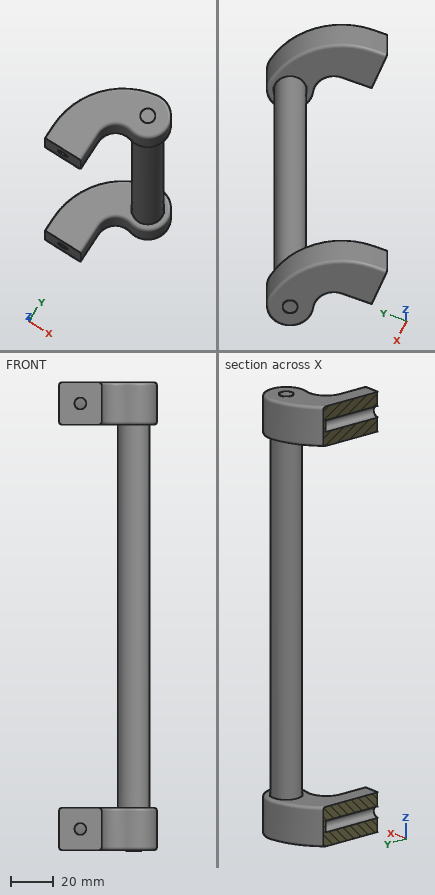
import cadquery as cq
import math

total_height = 220.5
badge_thickness = 0.5
bracket_height = 20.0
arm_width = 20.0
end_radius = 11.0
end_centre = 35.0
outer_bend_radius = 39.2
inner_bend_radius = 9.7
rim_round = 1.5
rod_diameter = 15.0
socket_diameter = 15.6
socket_depth = 10.0
hole_diameter = 5.5
hole_skin = 1.0
badge_diameter = 7.0

rail_height = total_height - badge_thickness
upper_bracket_base = rail_height - bracket_height
lower_socket_floor = bracket_height - socket_depth
rod_length = upper_bracket_base + socket_depth - lower_socket_floor

outer_bend_x = outer_bend_radius
outer_bend_y = end_centre - math.sqrt(
    (outer_bend_radius - end_radius) ** 2 - (outer_bend_x - end_centre) ** 2
)
inner_bend_x = arm_width + inner_bend_radius
inner_bend_y = end_centre - math.sqrt(
    (inner_bend_radius + end_radius) ** 2 - (inner_bend_x - end_centre) ** 2
)
outer_angle = math.atan2(end_centre - outer_bend_y, end_centre - outer_bend_x)
inner_angle = math.atan2(end_centre - inner_bend_y, end_centre - inner_bend_x)


def point_on_outer_bend(angle):
    """Point of the outer bend at an angle in radians, counted from +X."""
    return (
        outer_bend_x + outer_bend_radius * math.cos(angle),
        outer_bend_y + outer_bend_radius * math.sin(angle),
    )


def point_on_inner_bend(angle):
    """Point of the inner bend at an angle in radians, counted from +X."""
    return (
        inner_bend_x + inner_bend_radius * math.cos(angle),
        inner_bend_y + inner_bend_radius * math.sin(angle),
    )


def rod_axis_disc(diameter, base_z, height):
    """Upright cylinder on the rod axis."""
    return (
        cq.Workplane("XY", origin=(end_centre, end_centre, base_z))
        .circle(diameter / 2)
        .extrude(height)
    )


def arm():
    """Curved arm with a flat foot on Y = 0, standing on Z = 0, both rims rounded."""
    end_tip = (end_centre + end_radius, end_centre)
    block = (
        cq.Workplane("XY")
        .lineTo(0, outer_bend_y)
        .threePointArc(
            point_on_outer_bend((math.pi + outer_angle) / 2),
            point_on_outer_bend(outer_angle),
        )
        .threePointArc(end_tip, point_on_inner_bend(inner_angle))
        .threePointArc(
            point_on_inner_bend((math.pi + inner_angle) / 2),
            (arm_width, inner_bend_y),
        )
        .lineTo(arm_width, 0)
        .close()
        .extrude(bracket_height)
    )
    return block.faces("<Z or >Z").edges("not <Y").fillet(rim_round)


def foot_hole():
    """Blind mounting hole in the middle of the foot, ending parallel to the outer bend."""
    bore = (
        cq.Workplane("XZ", origin=(arm_width / 2, 0, bracket_height / 2))
        .circle(hole_diameter / 2)
        .extrude(-end_centre - end_radius)
    )
    inside_of_skin = (
        cq.Workplane("XY", origin=(outer_bend_x, outer_bend_y, 0))
        .circle(outer_bend_radius - hole_skin)
        .extrude(bracket_height)
    )
    foot_block = cq.Workplane("XY").box(arm_width, outer_bend_y, bracket_height, centered=False)
    return bore.intersect(inside_of_skin.union(foot_block))


def bracket(base_z, socket_base_z):
    """Arm with its foot hole and a blind socket for one end of the rod."""
    socket = rod_axis_disc(socket_diameter, socket_base_z, socket_depth)
    return arm().cut(foot_hole()).translate((0, 0, base_z)).cut(socket)


def badge(top_z):
    """Round badge over the rod axis."""
    return rod_axis_disc(badge_diameter, top_z - badge_thickness, badge_thickness)


rod = rod_axis_disc(rod_diameter, lower_socket_floor, rod_length)

badges = [badge(top_z) for top_z in (0, rail_height)]

brackets = []
for base_z, socket_base_z in ((0, lower_socket_floor), (upper_bracket_base, upper_bracket_base)):
    body = bracket(base_z, socket_base_z)
    for round_badge in badges:
        body = body.cut(round_badge)
    brackets.append(body)

result = cq.Compound.makeCompound(
    [rod.val()] + [body.val() for body in brackets] + [body.val() for body in badges]
)